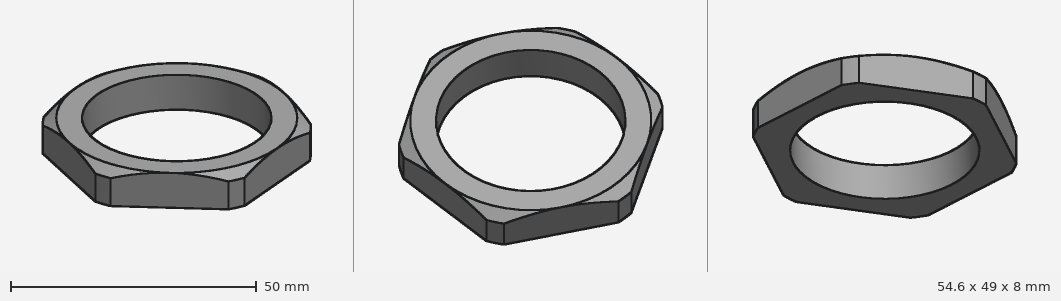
import cadquery as cq
import math

across_flats = 49.0
corner_diameter = 54.57
bore_diameter = 38.5
thickness = 8.0
chamfer_angle = 30.0

hexagon_sides = 6
corner_radius = corner_diameter / 2
top_face_radius = across_flats / 2
across_corners = across_flats / math.cos(math.pi / hexagon_sides)
chamfer_height = (corner_radius - top_face_radius) * math.tan(math.radians(chamfer_angle))


def hexagonal_blank():
    """Hexagonal prism with corners on the X axis and flats facing +Y and -Y."""
    return cq.Workplane("XY").polygon(hexagon_sides, across_corners).extrude(thickness)


def turned_envelope():
    """Round body that trims the six corners and bevels them at the top."""
    return (
        cq.Workplane("XZ")
        .moveTo(0, 0)
        .lineTo(corner_radius, 0)
        .lineTo(corner_radius, thickness - chamfer_height)
        .lineTo(top_face_radius, thickness)
        .lineTo(0, thickness)
        .close()
        .revolve(360, (0, 0, 0), (0, 1, 0))
    )


def bore():
    """Plain through bore along the Z axis."""
    return cq.Workplane("XY").circle(bore_diameter / 2).extrude(thickness)


result = hexagonal_blank().intersect(turned_envelope()).cut(bore())